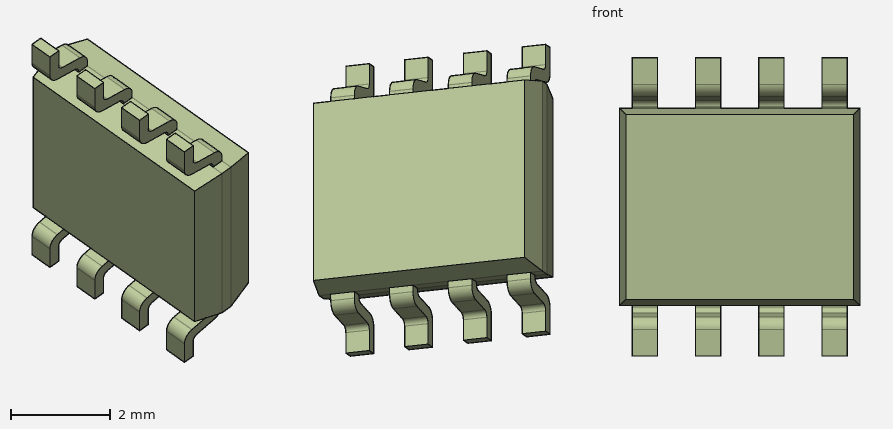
import cadquery as cq
import math

total_height = 5.99
total_depth = 1.7

body_width = 4.83
body_height = 3.965
standoff = 0.16
front_inset = 0.125
back_inset = 0.13

leads_per_side = 4
lead_pitch = 1.27
lead_width = 0.51
lead_thickness = 0.25
lead_rise = 0.815
lead_slope = 9.0
foot_length = 0.75
inner_bend_radius = 0.125
outer_bend_radius = 0.25
lead_embed = 0.18

band_front = lead_rise
band_back = lead_rise + lead_thickness


def tapered_half(start_y, end_y, inset):
    """Half of the body, drawn in from the band at start_y to the face at end_y."""
    return (
        cq.Workplane("XZ", origin=(0, start_y, 0))
        .rect(body_width, body_height)
        .workplane(offset=start_y - end_y)
        .rect(body_width - 2 * inset, body_height - 2 * inset)
        .loft(ruled=True)
    )


def make_body():
    band = (
        cq.Workplane("XZ", origin=(0, band_back, 0))
        .rect(body_width, body_height)
        .extrude(lead_thickness)
    )
    front = tapered_half(band_front, standoff, front_inset)
    back = tapered_half(band_back, total_depth, back_inset)
    return band.union(front).union(back)


def make_lead():
    """Upper lead centred on X = 0, bent from a strip of constant thickness."""
    slope = math.radians(lead_slope)
    tip_z = total_height / 2
    root_z = body_height / 2 - lead_embed
    bend_shift = lead_thickness * math.tan((math.pi / 2 - slope) / 2)
    web_drop = lead_rise * math.tan(slope)

    foot_outer = (0, tip_z - foot_length)
    foot_inner = (lead_thickness, foot_outer[1] + bend_shift)
    root_inner = (band_front, foot_outer[1] - web_drop)
    root_outer = (band_back, foot_inner[1] - web_drop)

    strip = (
        cq.Workplane("YZ", origin=(-lead_width / 2, 0, 0))
        .polyline([
            (0, tip_z), foot_outer, root_inner, (band_front, root_z),
            (band_back, root_z), root_outer, foot_inner, (lead_thickness, tip_z),
        ])
        .close()
        .extrude(lead_width)
    )

    bends = [
        (foot_inner, inner_bend_radius),
        (root_inner, inner_bend_radius),
        (foot_outer, outer_bend_radius),
        (root_outer, outer_bend_radius),
    ]
    for (y, z), radius in bends:
        strip = strip.edges(cq.NearestToPointSelector((0, y, z))).fillet(radius)
    return strip


result = make_body()
upper_lead = make_lead()
lower_lead = upper_lead.mirror("XY")
for index in range(leads_per_side):
    lead_x = (index - (leads_per_side - 1) / 2) * lead_pitch
    for lead in (upper_lead, lower_lead):
        result = result.union(lead.translate((lead_x, 0, 0)))